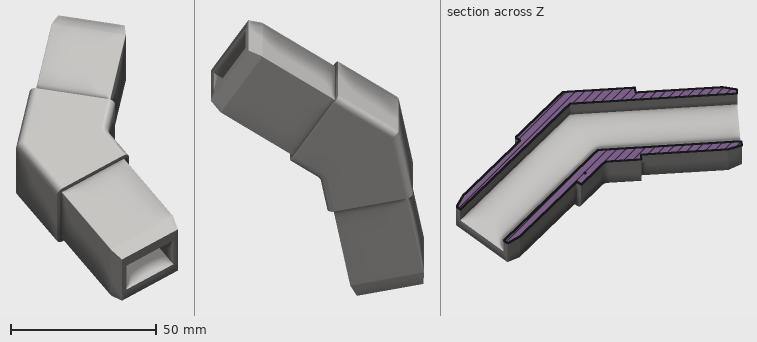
import cadquery as cq
import math

overall_length = 100.1
bend_angle = 45.0
bend = math.radians(bend_angle)

body_width = 30.0
body_outer_length = 25.0
body_edge_radius = 2.5
inner_corner_radius = 2.5

spigot_width = 26.0
spigot_edge_radius = 0.2
tip_length = 5.0
tip_taper = 15.0

passage_width = 19.6
passage_height = 13.5

tip_width = spigot_width - 2 * tip_length * math.tan(math.radians(tip_taper))
miter_slope = math.tan(bend / 2)
outer_corner_shift = body_width / 2 * miter_slope
body_end = body_outer_length - outer_corner_shift
leg_length = (overall_length - tip_width / 2 * math.sin(bend)) / (1 + math.cos(bend))
spigot_length = leg_length - body_end


def place_second_leg(leg):
    """Mirror the +X leg in the miter plane, giving the leg on the -X, +Y side."""
    turned = leg.mirror("XZ")
    return turned.rotate((0, 0, 0), (0, 0, 1), 180 - bend_angle)


def miter_leg(width, height, length):
    """Straight leg along +X, cut off at the miter plane."""
    half = width / 2
    shift = half * miter_slope
    outline = [(-shift, -half), (length, -half), (length, half), (shift, half)]
    return cq.Workplane("XY").polyline(outline).close().extrude(height / 2, both=True)


def make_elbow_body():
    leg = miter_leg(body_width, body_width, body_end)
    body = leg.union(place_second_leg(leg)).clean()
    inner_corner = cq.selectors.NearestToPointSelector((outer_corner_shift, body_width / 2, 0))
    body = body.edges("|Z").edges(inner_corner).fillet(inner_corner_radius)

    leg_direction = cq.Vector(1, 0, 0)
    second_direction = cq.Vector(-math.cos(bend), math.sin(bend), 0)
    end_tolerance = 0.01

    def is_on_end(edge):
        center = edge.Center()
        reach = max(center.dot(leg_direction), center.dot(second_direction))
        return reach > body_end - end_tolerance

    long_edges = [e for e in body.faces("<Z or >Z").edges().vals() if not is_on_end(e)]
    return body.newObject(long_edges).fillet(body_edge_radius)


def make_spigot():
    bar_plane = cq.Workplane("YZ", origin=(body_end, 0, 0))
    bar = bar_plane.rect(spigot_width, spigot_width).extrude(spigot_length)
    bar = bar.edges("|X").fillet(spigot_edge_radius)

    envelope = bar_plane.rect(spigot_width, spigot_width).extrude(spigot_length - tip_length)
    tip = envelope.faces(">X").workplane().rect(spigot_width, spigot_width)
    tip = tip.extrude(tip_length, taper=tip_taper, combine=False)
    return bar.intersect(envelope.union(tip))


spigot = make_spigot()
passage = miter_leg(passage_width, passage_height, leg_length)

result = make_elbow_body().union(spigot).union(place_second_leg(spigot))
result = result.cut(passage.union(place_second_leg(passage)))